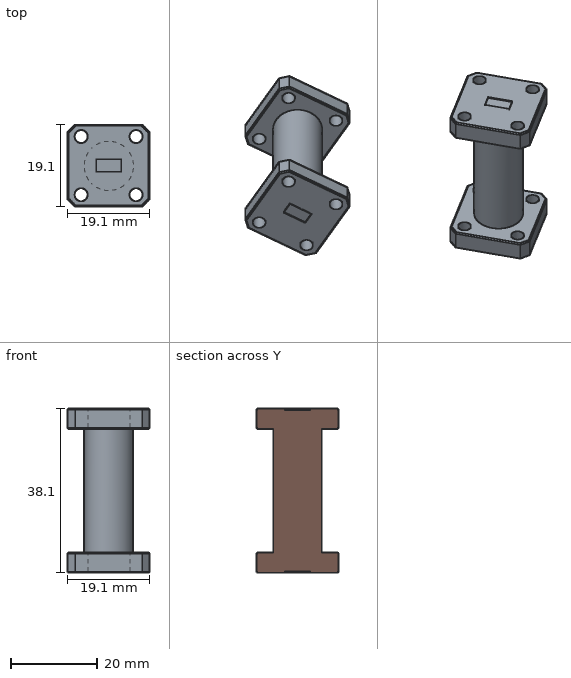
import cadquery as cq

length = 38.1
flange_side = 19.05
flange_thickness = 4.75
tube_diameter = 11.43

corner_chamfer = 1.75
rim_chamfer = 0.3

hole_diameter = 2.97
hole_spacing_x = 12.73
hole_spacing_y = 13.5

recess_width = 5.8
recess_height = 2.9
recess_depth = 0.3


def make_flange():
    """Square flange centred on the origin, with bevelled rims and four bolt holes."""
    plate = cq.Workplane("XY").box(flange_side, flange_side, flange_thickness)
    plate = plate.edges("|Z").chamfer(corner_chamfer)
    plate = plate.faces("<Z or >Z").edges().chamfer(rim_chamfer)
    return (
        plate.faces(">Z")
        .workplane(origin=(0, 0, 0))
        .rect(hole_spacing_x, hole_spacing_y, forConstruction=True)
        .vertices()
        .hole(hole_diameter)
    )


def make_recess_cutter():
    """Block that cuts the recess, centred on the outer face of a flange."""
    return cq.Workplane("XY").box(recess_width, recess_height, 2 * recess_depth)


tube_length = length - 2 * flange_thickness
result = cq.Workplane("XY").circle(tube_diameter / 2).extrude(tube_length / 2, both=True)

flange_center = (length - flange_thickness) / 2
for end in (-1, 1):
    result = result.union(make_flange().translate((0, 0, end * flange_center)))
    result = result.cut(make_recess_cutter().translate((0, 0, end * length / 2)))